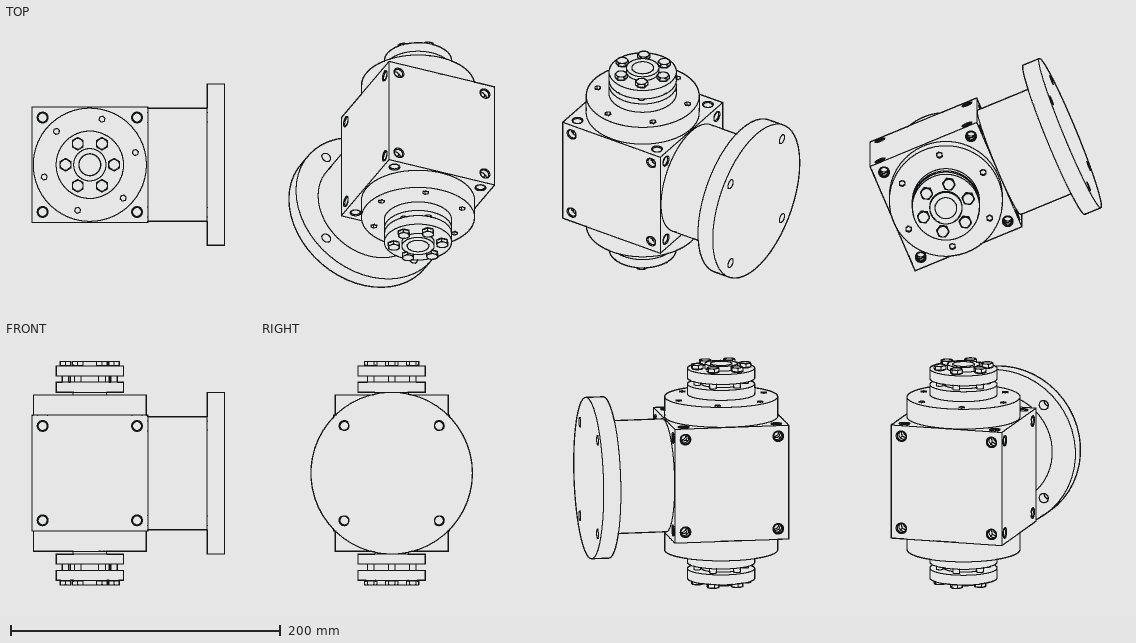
import cadquery as cq
import math


BLOCK_SIDE = 86.0
HALF_SIDE = BLOCK_SIDE / 2

TAP_OFFSET = 35.0
TAP_DIAMETER = 6.65
TAP_MOUTH_DIAMETER = 8.0
TAP_DEPTH = 16.0
DRILL_POINT_ANGLE = 118.0

COVER_DIAMETER = 84.0
COVER_THICKNESS = 15.0
COVER_TOP = HALF_SIDE + COVER_THICKNESS
SCREW_COUNT = 6
SCREW_CIRCLE_RADIUS = 35.0
SCREW_START_ANGLE = 15.0
SCREW_HEAD_DIAMETER = 8.5
SCREW_HEAD_HEIGHT = 5.0
SOCKET_WIDTH = 4.0
SOCKET_DEPTH = 3.0

NECK_DIAMETER = 84.0
FLANGE_DIAMETER = 120.0
FLANGE_THICKNESS = 13.0
FLANGE_END = 100.0
FLANGE_FACE = FLANGE_END - FLANGE_THICKNESS
FLANGE_HOLE_COUNT = 4
FLANGE_HOLE_DIAMETER = 7.0
FLANGE_HOLE_CIRCLE_RADIUS = 50.0

DISC_DIAMETER = 50.0
DISC_THICKNESS = 7.5
DISC_GAP = 4.5
DISC_CLEARANCE = 2.0
DISC_BOTTOM = COVER_TOP + DISC_CLEARANCE
DISC_TOP = DISC_BOTTOM + 2 * DISC_THICKNESS + DISC_GAP
DISC_HUB_DIAMETER = 29.0
BOLT_COUNT = 6
BOLT_CIRCLE_RADIUS = 18.0
BOLT_DIAMETER = 5.0
BOLT_HEAD_WIDTH = 8.0
BOLT_HEAD_HEIGHT = 3.5
BOLT_HEAD_CHAMFER_ANGLE = 30.0
WASHER_FACE_DIAMETER = 6.88
WASHER_FACE_HEIGHT = 0.5

SHAFT_DIAMETER = 25.0
SHAFT_END_DIAMETER = 24.0
SHAFT_BORE_DIAMETER = 16.0
SHAFT_SHOULDER = DISC_BOTTOM
SHAFT_END = DISC_TOP + BOLT_HEAD_HEIGHT


def hexagon_corner_diameter(width_across_flats):
    return width_across_flats / math.cos(math.radians(30))


def cylinder(diameter, bottom, top):
    """Solid cylinder about the Z axis between two heights."""
    return cq.Workplane("XY").workplane(offset=bottom).circle(diameter / 2).extrude(top - bottom)


def tapped_hole():
    """Cutter for one tapped hole: opens at Z = 0, goes down, with a 45 degree mouth and a drill point."""
    radius = TAP_DIAMETER / 2
    mouth_radius = TAP_MOUTH_DIAMETER / 2
    point_length = radius / math.tan(math.radians(DRILL_POINT_ANGLE / 2))
    profile = [
        (0, 0),
        (mouth_radius, 0),
        (radius, radius - mouth_radius),
        (radius, -TAP_DEPTH),
        (0, -TAP_DEPTH - point_length),
    ]
    return cq.Workplane("XZ").polyline(profile).close().revolve(360, (0, 0), (0, 1))


def tapped_face():
    """Cutters for the four tapped holes of the top face."""
    cutters = cq.Workplane("XY")
    for x in (-TAP_OFFSET, TAP_OFFSET):
        for y in (-TAP_OFFSET, TAP_OFFSET):
            cutters = cutters.add(tapped_hole().translate((x, y, HALF_SIDE)))
    return cutters.combine()


def make_cover():
    """Top cover with flush socket head screws, whose head outlines stay as edges on its face."""
    head_bottom = COVER_TOP - SCREW_HEAD_HEIGHT
    cover = cylinder(COVER_DIAMETER, HALF_SIDE, COVER_TOP)
    heads = (
        cq.Workplane("XY")
        .workplane(offset=head_bottom)
        .polarArray(SCREW_CIRCLE_RADIUS, SCREW_START_ANGLE, 360, SCREW_COUNT)
        .circle(SCREW_HEAD_DIAMETER / 2)
        .extrude(SCREW_HEAD_HEIGHT)
    )
    sockets = (
        cq.Workplane("XY")
        .workplane(offset=COVER_TOP - SOCKET_DEPTH)
        .polarArray(SCREW_CIRCLE_RADIUS, SCREW_START_ANGLE, 360, SCREW_COUNT)
        .polygon(6, hexagon_corner_diameter(SOCKET_WIDTH))
        .extrude(SOCKET_DEPTH)
    )
    return cover.cut(heads).union(heads, clean=False).cut(sockets, clean=False)


def make_input_flange():
    """Round neck and drilled flange on the +X face."""
    neck = cq.Workplane("YZ").workplane(offset=HALF_SIDE).circle(NECK_DIAMETER / 2)
    neck = neck.extrude(FLANGE_FACE - HALF_SIDE)
    flange = (
        cq.Workplane("YZ")
        .workplane(offset=FLANGE_FACE)
        .circle(FLANGE_DIAMETER / 2)
        .extrude(FLANGE_THICKNESS)
        .faces(">X")
        .workplane()
        .polarArray(FLANGE_HOLE_CIRCLE_RADIUS, 180 / FLANGE_HOLE_COUNT, 360, FLANGE_HOLE_COUNT)
        .hole(FLANGE_HOLE_DIAMETER)
    )
    return neck.union(flange)


def make_housing():
    block = cq.Workplane("XY").box(BLOCK_SIDE, BLOCK_SIDE, BLOCK_SIDE)
    block = block.union(make_input_flange())
    holes = tapped_face()
    for turn in (0, 90, 180, 270):
        block = block.cut(holes.rotate((0, 0, 0), (1, 0, 0), turn))
    for turn in (90, 270):
        block = block.cut(holes.rotate((0, 0, 0), (0, 1, 0), turn))
    cover = make_cover()
    block = block.union(cover, clean=False)
    block = block.union(cover.rotate((0, 0, 0), (1, 0, 0), 180), clean=False)
    return block.cut(cylinder(SHAFT_DIAMETER, -COVER_TOP, COVER_TOP), clean=False)


def make_shaft():
    shaft = cylinder(SHAFT_DIAMETER, -SHAFT_SHOULDER, SHAFT_SHOULDER)
    shaft = shaft.union(cylinder(SHAFT_END_DIAMETER, -SHAFT_END, SHAFT_END))
    return shaft.cut(cylinder(SHAFT_BORE_DIAMETER, -SHAFT_END, SHAFT_END))


def make_bolt():
    """Hexagon bolt on the Z axis, with chamfered head corners and a round washer face under the head."""
    corner_diameter = hexagon_corner_diameter(BOLT_HEAD_WIDTH)
    head = (
        cq.Workplane("XY")
        .workplane(offset=DISC_TOP + WASHER_FACE_HEIGHT)
        .polygon(6, corner_diameter)
        .extrude(BOLT_HEAD_HEIGHT - WASHER_FACE_HEIGHT)
        .rotate((0, 0, 0), (0, 0, 1), 30)
    )
    corner_radius = corner_diameter / 2
    top_radius = BOLT_HEAD_WIDTH / 2
    chamfer_drop = (corner_radius - top_radius) * math.tan(math.radians(BOLT_HEAD_CHAMFER_ANGLE))
    envelope = (
        cylinder(corner_diameter, DISC_TOP, SHAFT_END)
        .faces(">Z")
        .chamfer(chamfer_drop, corner_radius - top_radius)
    )
    washer_face = cylinder(WASHER_FACE_DIAMETER, DISC_TOP, DISC_TOP + WASHER_FACE_HEIGHT)
    shank = cylinder(BOLT_DIAMETER, DISC_BOTTOM, DISC_TOP)
    return head.intersect(envelope).union(washer_face).union(shank)


def make_shrink_disc():
    """Upper shrink disc: two rings on a hub, drawn together by six bolts."""
    disc = cylinder(DISC_DIAMETER, DISC_BOTTOM, DISC_BOTTOM + DISC_THICKNESS)
    disc = disc.union(cylinder(DISC_DIAMETER, DISC_TOP - DISC_THICKNESS, DISC_TOP))
    disc = disc.union(cylinder(DISC_HUB_DIAMETER, DISC_BOTTOM, DISC_TOP))
    bolt = make_bolt()
    for index in range(BOLT_COUNT):
        angle = math.radians(index * 360 / BOLT_COUNT)
        x = BOLT_CIRCLE_RADIUS * math.cos(angle)
        y = BOLT_CIRCLE_RADIUS * math.sin(angle)
        disc = disc.union(bolt.translate((x, y, 0)))
    return disc.cut(cylinder(SHAFT_END_DIAMETER, DISC_BOTTOM, DISC_TOP))


housing = make_housing()
shaft = make_shaft()
shrink_disc = make_shrink_disc()
shrink_discs = [shrink_disc.rotate((0, 0, 0), (1, 0, 0), turn) for turn in (0, 180)]

result = cq.Compound.makeCompound(
    [housing.val(), shaft.val(), *[disc.val() for disc in shrink_discs]]
)